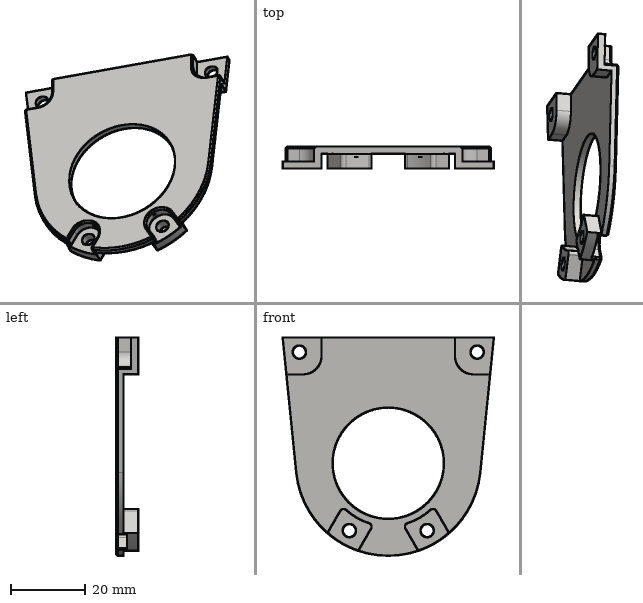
import cadquery as cq
import math

plate_thickness = 2.0
total_depth = 6.0
round_radius = 25.0
hole_diameter = 30.0
top_height = 34.0
top_width = 57.09
edge_chamfer = 0.5
screw_diameter = 3.5

upper_screw_x = 24.0
upper_screw_z = 30.0
upper_pad_inner_x = 18.0
upper_pad_bottom_z = 24.0
upper_pad_corner_radius = 5.0
upper_pocket_radius = 4.0
upper_pocket_depth = 4.0

lower_screw_radius = 21.0
lower_pad_angle = 30.0
lower_pad_width = 9.6
lower_pad_inner_radius = 17.0
lower_pad_corner_radius = 1.0
lower_pocket_radius = 3.75
lower_pocket_depth = 2.9

overrun = 10.0

corner_distance = math.hypot(top_width / 2, top_height)
corner_angle = math.atan2(top_height, top_width / 2)
side_tilt = math.acos(round_radius / corner_distance) - corner_angle
tangent_x = round_radius * math.cos(side_tilt)
tangent_z = -round_radius * math.sin(side_tilt)


def xz_sketch():
    """Workplane on Y = 0; positive extrusion runs towards -Y."""
    return cq.Workplane("XZ")


def half_outline_prism(depth):
    """Right half of the part's outline, extruded forward from the back face."""
    arc_middle_angle = (math.pi / 2 + side_tilt) / 2
    arc_middle = (
        round_radius * math.cos(arc_middle_angle),
        -round_radius * math.sin(arc_middle_angle),
    )
    return (
        xz_sketch()
        .moveTo(0, top_height)
        .lineTo(0, -round_radius)
        .threePointArc(arc_middle, (tangent_x, tangent_z))
        .lineTo(top_width / 2, top_height)
        .close()
        .extrude(depth)
    )


def upper_pad():
    """Right corner pad, trimmed to the plate outline."""
    width = top_width / 2 - upper_pad_inner_x
    height = top_height - upper_pad_bottom_z
    block = (
        xz_sketch()
        .workplane(offset=plate_thickness)
        .moveTo(upper_pad_inner_x, upper_pad_bottom_z)
        .rect(width, height, centered=False)
        .extrude(total_depth - plate_thickness)
        .edges("|Y and <X and <Z")
        .fillet(upper_pad_corner_radius)
    )
    return block.intersect(half_outline_prism(total_depth))


def upper_pocket():
    """Head clearance behind the right corner pad, open at the side and the top."""
    radius = upper_pocket_radius
    diagonal = radius * math.cos(math.pi / 4)
    return (
        xz_sketch()
        .center(upper_screw_x, upper_screw_z)
        .moveTo(-radius, overrun)
        .lineTo(-radius, 0)
        .threePointArc((-diagonal, -diagonal), (0, -radius))
        .lineTo(overrun, -radius)
        .lineTo(overrun, overrun)
        .close()
        .extrude(upper_pocket_depth)
    )


def turned_to_lower_pad(shape):
    """Swing a shape built straight below the hole round to the right lower pad."""
    return shape.rotate((0, 0, 0), (0, 1, 0), -lower_pad_angle)


def lower_pad():
    """Right lower pad: parallel sides between two arcs about the large hole."""
    block = (
        xz_sketch()
        .workplane(offset=plate_thickness)
        .center(0, -round_radius / 2)
        .rect(lower_pad_width, round_radius)
        .extrude(total_depth - plate_thickness)
    )
    inner_cut = xz_sketch().circle(lower_pad_inner_radius).extrude(total_depth)
    outer_limit = xz_sketch().circle(round_radius).extrude(total_depth)
    pad = block.cut(inner_cut).intersect(outer_limit)
    inner_corners = cq.selectors.BoxSelector(
        (-lower_pad_width, -total_depth, -lower_pad_inner_radius),
        (lower_pad_width, 0, 0),
    )
    return turned_to_lower_pad(pad.edges("|Y").edges(inner_corners).fillet(lower_pad_corner_radius))


def lower_pocket():
    """Round-ended head clearance behind the right lower pad, open outwards."""
    slot = (
        xz_sketch()
        .center(0, -lower_screw_radius)
        .moveTo(-lower_pocket_radius, -overrun)
        .lineTo(-lower_pocket_radius, 0)
        .threePointArc((0, lower_pocket_radius), (lower_pocket_radius, 0))
        .lineTo(lower_pocket_radius, -overrun)
        .close()
        .extrude(lower_pocket_depth)
    )
    return turned_to_lower_pad(slot)


def pocket_mouth_points():
    """Middle points of the three edges where pocket walls meet the outer side."""
    floor_z = upper_screw_z - upper_pocket_radius
    floor_end_x = top_width / 2 - (top_height - floor_z) * math.tan(side_tilt)
    points = [(floor_end_x, -upper_pocket_depth / 2, floor_z)]
    half_opening = math.asin(lower_pocket_radius / round_radius)
    for offset in (-half_opening, half_opening):
        angle = math.radians(lower_pad_angle) + offset
        x = round_radius * math.sin(angle)
        z = -round_radius * math.cos(angle)
        points.append((x, -lower_pocket_depth / 2, z))
    return points


def chamfer_outer_edges(half):
    """Chamfer the pocket mouths, then the whole back outline except its top edge."""
    for point in pocket_mouth_points():
        half = half.edges(cq.selectors.NearestToPointSelector(point)).chamfer(edge_chamfer)
    return half.faces(">Y").edges("not (<X or >Z)").chamfer(edge_chamfer)


def large_hole():
    """Round opening through the plate."""
    return xz_sketch().circle(hole_diameter / 2).extrude(plate_thickness)


def screw_holes():
    """Both screw holes of the right half, through the full depth."""
    angle = math.radians(lower_pad_angle)
    centres = [
        (upper_screw_x, upper_screw_z),
        (lower_screw_radius * math.sin(angle), -lower_screw_radius * math.cos(angle)),
    ]
    return xz_sketch().pushPoints(centres).circle(screw_diameter / 2).extrude(total_depth)


right_half = half_outline_prism(plate_thickness).union(upper_pad()).union(lower_pad())
right_half = right_half.cut(upper_pocket()).cut(lower_pocket())
right_half = chamfer_outer_edges(right_half)
right_half = right_half.cut(large_hole()).cut(screw_holes())
result = right_half.union(right_half.mirror("YZ"))